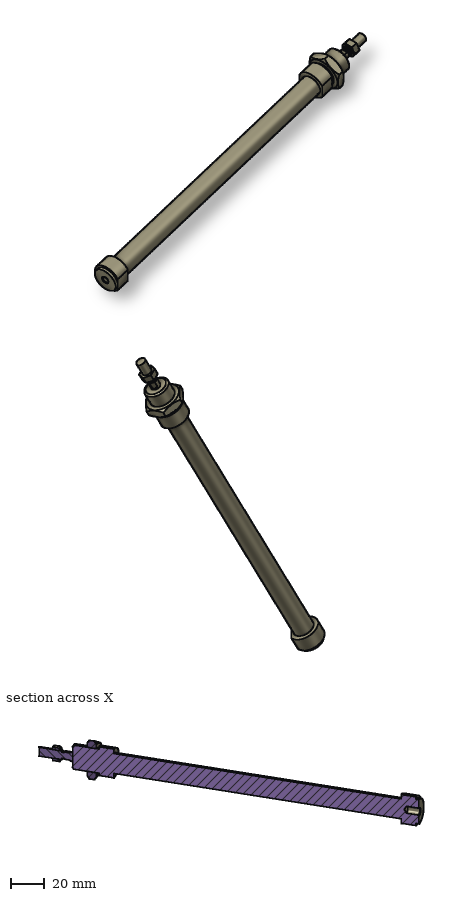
import cadquery as cq
import math


total_length = 240.0
rear_boss_length = 2.0
head_length = 9.4
front_head_end = 202.0
front_head_start = front_head_end - head_length
nose_face = 218.85
rod_flats_start = 219.9
rod_shoulder = 224.0
thread_start = 225.5

tube_diameter = 13.2
head_diameter = 19.0
head_flat_x = 8.0
rear_boss_diameter = 16.0
nose_diameter = 16.0
nose_chamfer_length = 0.8
nose_chamfer_depth = 1.4
port_diameter = 5.0
port_core_diameter = 4.2
port_depth = 8.0
port_point_angle = 118.0

rod_diameter = 6.0
neck_diameter = 4.2
rod_across_flats = 5.0
rod_flat_end_radius = 0.8

mount_nut_width = 22.0
mount_nut_thickness = 6.0
mount_nut_start = 203.6
rod_nut_width = 9.0
rod_nut_thickness = 4.5
rod_nut_start = 226.8
nut_chamfer_angle = 35.0
nut_face_ratio = 0.97


def cylinder(diameter, start, end):
    """Solid cylinder on the Y axis between two stations."""
    plane = cq.Workplane("XZ", origin=(0, start, 0))
    return plane.circle(diameter / 2).extrude(start - end)


def make_head(start):
    """End head: a disc with one flat on its +X side."""
    disc = cylinder(head_diameter, start, start + head_length)
    flat_block = cq.Workplane("XY").box(
        head_diameter, head_length, head_diameter, centered=(False, False, True)
    )
    return disc.cut(flat_block.translate((head_flat_x, start, 0)))


def make_nose():
    """Mounting nose with a chamfered front rim."""
    nose = cylinder(nose_diameter, front_head_end, nose_face)
    return nose.faces(">Y").chamfer(nose_chamfer_length, nose_chamfer_depth)


def make_port():
    """Blind port with a 45 degree mouth and a drill-point bottom, opening at the rear face."""
    mouth_radius = port_diameter / 2
    radius = port_core_diameter / 2
    mouth_depth = mouth_radius - radius
    point_depth = radius / math.tan(math.radians(port_point_angle / 2))
    profile = cq.Workplane("XY").polyline(
        [
            (0, 0),
            (mouth_radius, 0),
            (radius, mouth_depth),
            (radius, port_depth),
            (0, port_depth + point_depth),
        ]
    )
    return profile.close().revolve(360, (0, 0, 0), (0, 1, 0))


def make_cylinder_body():
    rear_head_end = rear_boss_length + head_length
    body = cylinder(rear_boss_diameter, 0, rear_boss_length)
    body = body.union(make_head(rear_boss_length))
    body = body.union(cylinder(tube_diameter, rear_head_end, front_head_start))
    body = body.union(make_head(front_head_start))
    body = body.union(make_nose())
    return body.cut(make_port())


def make_piston_rod():
    """Rod standing on the nose face, with wrench flats, a neck and a plain thread."""
    rod = cylinder(rod_diameter, nose_face, rod_shoulder)
    flats_length = rod_shoulder - rod_flats_start
    flat_cutter = cq.Workplane("XY").box(
        rod_diameter, flats_length, rod_diameter, centered=(True, False, False)
    )
    flat_cutter = flat_cutter.faces("<Y").edges("<Z").fillet(rod_flat_end_radius)
    flat_cutter = flat_cutter.translate((0, rod_flats_start, rod_across_flats / 2))
    rod = rod.cut(flat_cutter).cut(flat_cutter.mirror("XY"))
    rod = rod.union(cylinder(neck_diameter, rod_shoulder, thread_start))
    return rod.union(cylinder(rod_diameter, thread_start, total_length))


def make_nut(width, thickness, bore, start, turn, chamfer_front):
    """Hex nut whose corners are cut back by a cone at the rear, and optionally the front.

    With turn = 0 the corners point along X; turn = 30 points them along Z.
    """
    flat_radius = width / 2
    corner_radius = flat_radius / math.cos(math.pi / 6)
    face_radius = nut_face_ratio * flat_radius
    chamfer_rise = (corner_radius - face_radius) * math.tan(math.radians(nut_chamfer_angle))
    nut = cq.Workplane("XZ").polygon(6, 2 * corner_radius).extrude(-thickness)
    nut = nut.rotate((0, 0, 0), (0, 1, 0), turn)

    outline = [(0, 0), (face_radius, 0), (corner_radius, chamfer_rise)]
    if chamfer_front:
        outline += [(corner_radius, thickness - chamfer_rise), (face_radius, thickness)]
    else:
        outline += [(corner_radius, thickness)]
    outline += [(0, thickness)]
    envelope = cq.Workplane("XY").polyline(outline).close()
    nut = nut.intersect(envelope.revolve(360, (0, 0, 0), (0, 1, 0)))
    return nut.cut(cylinder(bore, 0, thickness)).translate((0, start, 0))


cylinder_body = make_cylinder_body()
piston_rod = make_piston_rod()
mount_nut = make_nut(
    mount_nut_width, mount_nut_thickness, nose_diameter, mount_nut_start, 30, chamfer_front=True
)
rod_nut = make_nut(
    rod_nut_width, rod_nut_thickness, rod_diameter, rod_nut_start, 0, chamfer_front=False
)

result = cq.Compound.makeCompound(
    [cylinder_body.val(), piston_rod.val(), mount_nut.val(), rod_nut.val()]
)